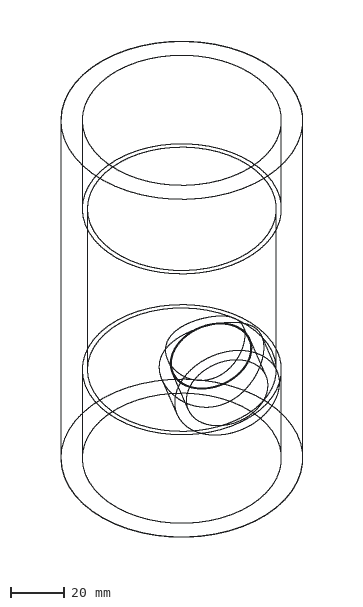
import cadquery as cq

length = 168.0
body_diameter = 91.0
bore_diameter = 71.0
socket_diameter = 75.0
socket_depth = 44.0

branch_diameter = 41.0
branch_bore_diameter = 31.0
branch_socket_diameter = 32.0
branch_socket_depth = 22.0
overall_x = 107.5
branch_end = overall_x - body_diameter / 2


def z_cylinder(diameter, bottom, height):
    """Cylinder on the main axis, rising from the given level."""
    return cq.Workplane("XY").workplane(offset=bottom).circle(diameter / 2).extrude(height)


def x_cylinder(diameter, start, end):
    """Cylinder on the branch axis between two X positions."""
    return cq.Workplane("YZ").workplane(offset=start).circle(diameter / 2).extrude(end - start)


body = z_cylinder(body_diameter, -length / 2, length)
body = body.union(x_cylinder(branch_diameter, 0, branch_end))

body = body.cut(z_cylinder(bore_diameter, -length / 2, length))
for socket_bottom in (-length / 2, length / 2 - socket_depth):
    body = body.cut(z_cylinder(socket_diameter, socket_bottom, socket_depth))

body = body.cut(x_cylinder(branch_bore_diameter, 0, branch_end))
body = body.cut(x_cylinder(branch_socket_diameter, branch_end - branch_socket_depth, branch_end))

result = body